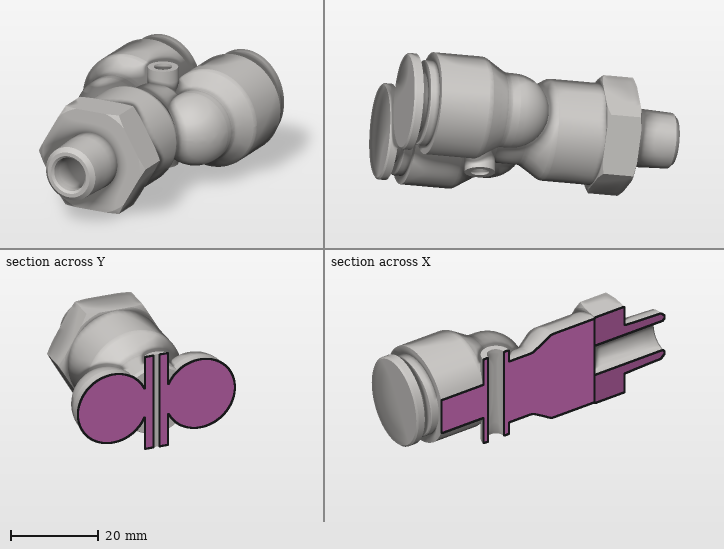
import cadquery as cq
import math


total_length = 66.9
total_width = 45.0
barrel_d = 23.5
neck_d = 17.1
port_offset = (total_width - barrel_d) / 2
cone_length = 5.15
shoulder_fillet = 2.0
neck_tip_length = 0.95
neck_tip_inset = 0.35

thread_length = 11.0
thread_root_d = 13.65
thread_tip_d = 12.85
thread_chamfer = 1.0
hex_across_flats = 24.0
hex_thickness = 8.1
hex_chamfer_d = 25.2
hex_chamfer_height = 0.55
bore_d = 8.0
bore_chamfer = 0.55

hex_top_y = thread_length + hex_thickness
stem_barrel_end_y = 30.9
stem_neck_end_y = 44.0
ball_center_y = 41.4
port_cone_start_y = 43.9
port_face_y = 61.0

tube_y = 46.0
tube_d = 7.0
tube_hole_d = 4.2

ring_d = 19.6
ring_thickness = 2.0
ring_chamfer = 0.2
sleeve_neck_d = 14.2
flange_width = 19.6
flange_height = 22.5
flange_thickness = 2.1
flange_chamfer = 0.4


def turned(profile):
    """Solid of revolution about the Y axis from (radius, y) points."""
    return cq.Workplane("XY").polyline(profile).close().revolve(360, (0, 0, 0), (0, 1, 0))


def disc(diameter, start_y, thickness):
    """Plain cylinder along Y that starts at start_y and grows towards +Y."""
    return cq.Workplane("XZ", origin=(0, start_y, 0)).circle(diameter / 2).extrude(-thickness)


def round_shoulders(body, *stations):
    """Fillet the circular edges of a turned body at the given Y stations."""
    for y in stations:
        edge = cq.selectors.NearestToPointSelector((0, y, 0))
        body = body.edges(edge).fillet(shoulder_fillet)
    return body


def make_stem():
    """Central barrel on the hexagon that tapers to the neck between the ports."""
    cone_end_y = stem_barrel_end_y + cone_length
    stem = turned([
        (0, hex_top_y),
        (barrel_d / 2, hex_top_y),
        (barrel_d / 2, stem_barrel_end_y),
        (neck_d / 2, cone_end_y),
        (neck_d / 2, stem_neck_end_y - neck_tip_length),
        (neck_d / 2 - neck_tip_inset, stem_neck_end_y),
        (0, stem_neck_end_y),
    ])
    return round_shoulders(stem, stem_barrel_end_y, cone_end_y)


def make_half_ball():
    """Half ball on the Y axis that closes the neck of a port towards -Y."""
    radius = neck_d / 2
    diagonal = radius * math.sqrt(0.5)
    return (
        cq.Workplane("XY")
        .moveTo(0, ball_center_y)
        .lineTo(radius, ball_center_y)
        .threePointArc((diagonal, ball_center_y - diagonal), (0, ball_center_y - radius))
        .close()
        .revolve(360, (0, 0, 0), (0, 1, 0))
    )


def make_port():
    """One tube port on the Y axis: a barrel that tapers to a ball-ended neck."""
    cone_end_y = port_cone_start_y + cone_length
    port = turned([
        (0, ball_center_y),
        (neck_d / 2, ball_center_y),
        (neck_d / 2, port_cone_start_y),
        (barrel_d / 2, cone_end_y),
        (barrel_d / 2, port_face_y),
        (0, port_face_y),
    ])
    port = round_shoulders(port, port_cone_start_y, cone_end_y)
    return port.union(make_half_ball())


def make_housing():
    """Y-shaped housing with the mounting tube across its middle."""
    housing = make_stem()
    for side in (-1, 1):
        housing = housing.union(make_port().translate((side * port_offset, 0, 0)))
    tube_plane = cq.Workplane("XY", origin=(0, tube_y, 0))
    tube = tube_plane.circle(tube_d / 2).extrude(barrel_d / 2, both=True)
    tube_hole = tube_plane.circle(tube_hole_d / 2).extrude(barrel_d / 2, both=True)
    return housing.union(tube).cut(tube_hole)


def make_hexagon():
    """Hexagon with flats facing +Z and -Z and corners chamfered on both faces."""
    across_corners = hex_across_flats / math.cos(math.pi / 6)
    hexagon = (
        cq.Workplane("XZ", origin=(0, thread_length, 0))
        .polygon(6, across_corners)
        .extrude(-hex_thickness)
    )
    corner_envelope = turned([
        (0, thread_length),
        (hex_chamfer_d / 2, thread_length),
        (across_corners / 2, thread_length + hex_chamfer_height),
        (across_corners / 2, hex_top_y - hex_chamfer_height),
        (hex_chamfer_d / 2, hex_top_y),
        (0, hex_top_y),
    ])
    return hexagon.intersect(corner_envelope)


def make_threaded_fitting():
    """Hexagon with a tapered thread shank and a bore through to the housing."""
    shank = turned([
        (0, 0),
        (thread_tip_d / 2 - thread_chamfer, 0),
        (thread_tip_d / 2, thread_chamfer),
        (thread_root_d / 2, thread_length),
        (0, thread_length),
    ])
    bore = turned([
        (0, 0),
        (bore_d / 2 + bore_chamfer, 0),
        (bore_d / 2, bore_chamfer),
        (bore_d / 2, hex_top_y),
        (0, hex_top_y),
    ])
    return make_hexagon().union(shank).cut(bore)


def make_collar_ring(x):
    """Collar ring seated on the face of the port at x."""
    ring = disc(ring_d, port_face_y, ring_thickness)
    return ring.faces(">Y").chamfer(ring_chamfer).translate((x, 0, 0))


def make_release_sleeve(x):
    """Release sleeve on the ring at x: a round neck under an oval flange."""
    ring_face_y = port_face_y + ring_thickness
    flange_start_y = total_length - flange_thickness
    flange = (
        cq.Workplane("XZ", origin=(0, flange_start_y, 0))
        .ellipse(flange_width / 2, flange_height / 2)
        .extrude(-flange_thickness)
        .faces(">Y")
        .chamfer(flange_chamfer)
    )
    neck = disc(sleeve_neck_d, ring_face_y, flange_start_y - ring_face_y)
    return flange.union(neck).translate((x, 0, 0))


housing = make_housing()
threaded_fitting = make_threaded_fitting()
port_positions = (-port_offset, port_offset)
collar_rings = [make_collar_ring(x) for x in port_positions]
release_sleeves = [make_release_sleeve(x) for x in port_positions]

result = cq.Compound.makeCompound([
    housing.val(),
    threaded_fitting.val(),
    *[ring.val() for ring in collar_rings],
    *[sleeve.val() for sleeve in release_sleeves],
])